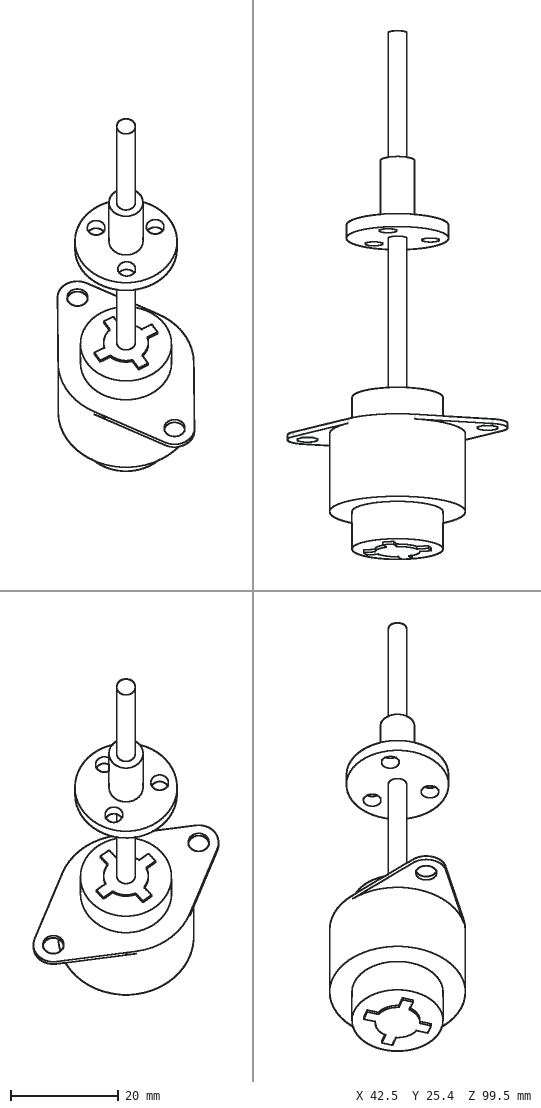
import cadquery as cq
import math

total_height = 99.5
crown_height = 0.5
body_bottom = 7.7
plate_bottom = 22.6
plate_top = 23.5
motor_top = 30.0
nut_bottom = 60.1
nut_flange_top = 62.6
nut_top = 75.0

body_diameter = 25.4
boss_diameter = 17.0
shaft_diameter = 3.5

plate_length = 42.5
ear_hole_offset = 17.5
ear_hole_diameter = 3.9

crown_disc_diameter = 8.4
crown_span = 12.5
crown_arm_width = 2.1

nut_flange_diameter = 19.1
nut_hub_diameter = 6.4
nut_hole_circle_diameter = 12.7
nut_hole_diameter = 3.3
nut_hole_count = 3


def cylinder(diameter, bottom, top):
    """Vertical cylinder on the shaft axis."""
    return cq.Workplane("XY").workplane(offset=bottom).circle(diameter / 2).extrude(top - bottom)


def mounting_plate():
    """Two rounded ears joined to the body circle by tangent edges, with a hole in each ear."""
    body_radius = body_diameter / 2
    ear_radius = plate_length / 2 - ear_hole_offset
    normal_x = (body_radius - ear_radius) / ear_hole_offset
    normal_y = math.sqrt(1 - normal_x**2)
    body_x = body_radius * normal_x
    body_y = body_radius * normal_y
    ear_x = ear_hole_offset + ear_radius * normal_x
    ear_y = ear_radius * normal_y
    end_x = plate_length / 2
    plate = (
        cq.Workplane("XY")
        .workplane(offset=plate_bottom)
        .moveTo(-body_x, body_y)
        .threePointArc((0, body_radius), (body_x, body_y))
        .lineTo(ear_x, ear_y)
        .threePointArc((end_x, 0), (ear_x, -ear_y))
        .lineTo(body_x, -body_y)
        .threePointArc((0, -body_radius), (-body_x, -body_y))
        .lineTo(-ear_x, -ear_y)
        .threePointArc((-end_x, 0), (-ear_x, ear_y))
        .close()
        .extrude(plate_top - plate_bottom)
    )
    ear_holes = (
        cq.Workplane("XY")
        .workplane(offset=plate_bottom)
        .pushPoints([(-ear_hole_offset, 0), (ear_hole_offset, 0)])
        .circle(ear_hole_diameter / 2)
        .extrude(plate_top - plate_bottom)
    )
    return plate.cut(ear_holes)


def crown(bottom):
    """Thin disc with four straight arms along X and Y."""
    top = bottom + crown_height
    shape = cylinder(crown_disc_diameter, bottom, top)
    for length, width in ((crown_span, crown_arm_width), (crown_arm_width, crown_span)):
        arms = cq.Workplane("XY").workplane(offset=bottom).rect(length, width).extrude(crown_height)
        shape = shape.union(arms)
    return shape


def motor():
    """Stepped body with the mounting plate and a crown at each end."""
    boss = cylinder(boss_diameter, crown_height, motor_top - crown_height)
    body = cylinder(body_diameter, body_bottom, plate_top)
    shape = boss.union(body).union(mounting_plate())
    return shape.union(crown(0)).union(crown(motor_top - crown_height))


def flanged_nut():
    """Drilled round flange with a hub above it."""
    flange = cylinder(nut_flange_diameter, nut_bottom, nut_flange_top)
    holes = (
        cq.Workplane("XY")
        .workplane(offset=nut_bottom)
        .polarArray(nut_hole_circle_diameter / 2, 90, 360, nut_hole_count)
        .circle(nut_hole_diameter / 2)
        .extrude(nut_flange_top - nut_bottom)
    )
    return flange.cut(holes).union(cylinder(nut_hub_diameter, nut_bottom, nut_top))


shaft = cylinder(shaft_diameter, 0, total_height)
result = motor().union(shaft).union(flanged_nut())